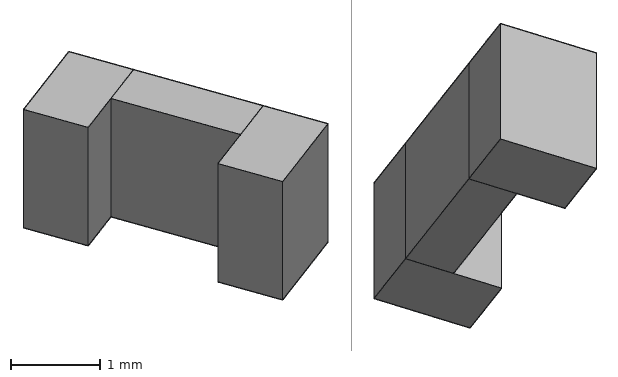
import cadquery as cq

length = 3.2
depth = 1.2
height = 1.65

block_length = length / 4
bridge_length = length - 2 * block_length
bridge_depth = depth / 2


def make_end_block(side):
    """Full-depth block at the -X end (side = -1) or the +X end (side = 1)."""
    center_x = side * (length - block_length) / 2
    return cq.Workplane("XY").box(block_length, depth, height).translate((center_x, 0, 0))


def make_bridge():
    """Plate between the end blocks, flush with their +Y faces."""
    center_y = (depth - bridge_depth) / 2
    return cq.Workplane("XY").box(bridge_length, bridge_depth, height).translate((0, center_y, 0))


end_blocks = [make_end_block(side) for side in (-1, 1)]
bridge = make_bridge()

result = cq.Compound.makeCompound([bridge.val(), *[block.val() for block in end_blocks]])